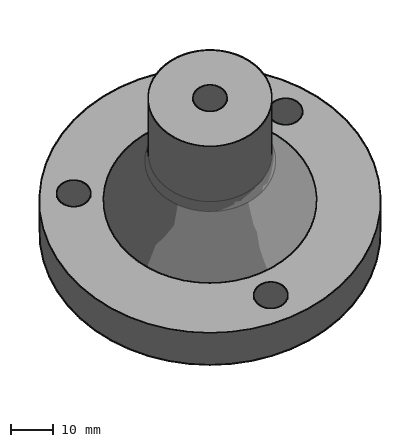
import cadquery as cq

flange_diameter = 80.0
flange_thickness = 12.0

total_height = 50.0
cone_base_diameter = 50.0
neck_diameter = 29.0
cone_top_height = 28.0
neck_blend_radius = 4.95

hole_diameter = 8.0
bolt_circle_radius = 32.0
bolt_count = 3
first_bolt_angle = 90.0


def make_flange():
    return cq.Workplane("XY").circle(flange_diameter / 2).extrude(flange_thickness)


def make_hub():
    """Revolve the cone and neck, then blend the corner between them."""
    hub = (
        cq.Workplane("XZ")
        .lineTo(cone_base_diameter / 2, 0)
        .lineTo(cone_base_diameter / 2, flange_thickness)
        .lineTo(neck_diameter / 2, cone_top_height)
        .lineTo(neck_diameter / 2, total_height)
        .lineTo(0, total_height)
        .close()
        .revolve(360, (0, 0), (0, 1))
    )
    corner = cq.selectors.NearestToPointSelector((0, 0, cone_top_height))
    return hub.edges("%CIRCLE").edges(corner).fillet(neck_blend_radius)


def make_holes():
    """Through cutters for the central bore and the bolt circle."""
    bore = cq.Workplane("XY").circle(hole_diameter / 2).extrude(total_height)
    bolt_holes = (
        cq.Workplane("XY")
        .polarArray(bolt_circle_radius, first_bolt_angle, 360, bolt_count)
        .circle(hole_diameter / 2)
        .extrude(flange_thickness)
    )
    return bore.union(bolt_holes)


result = make_flange().union(make_hub()).cut(make_holes())